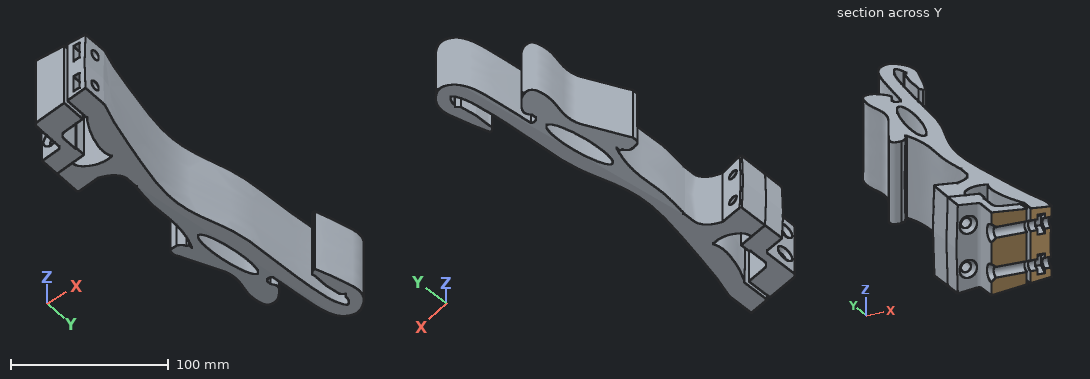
import cadquery as cq
import math


blade_half_width = 28.2
ridge_foot = (31.3, 84.0)
ridge_angle = 7.9
top_slope = 0.08
bottom_slope = 0.12
stock_half_width = 39.1
trim_reach = 521.8
overshoot = 2.5

joint_y = 41.2
shelf_y = 26.5
upper_leg_length = 23.5
waist_x = 22.7
waist_top = 34.0
jaw_left = 16.5
jaw_right = 41.5
jaw_height = 18.3
jaw_corner_radius = 3.0
shelf_corner_radius = 1.8
waist_corner_radius = 4.0

shoulder_y = 62.0
shoulder_end = 18.0
shoulder_chamfer = 1.0
neck = (30.5, 83.0)
tail_left = 44.0
tail_right = 59.2
tail_inner_height = 20.0
tail_outer_height = 18.8
tail_draft_top = (47.5, 64.0)
cavity_left = 13.8
cavity_top = 54.5
window_center = (36.8, 167.7)
window_radii = (25.3, 5.5)

draft_setback = 0.91
neck_gap = 0.8
neck_drop = 5.0

hole_diameter = 7.0
countersink_diameter = 12.3
countersink_depth = 3.5
clamp_screw_x = 8.3
clamp_screw_zs = (15.1, -15.1)
jaw_screw_y = 10.0
jaw_screw_zs = (14.0, -13.3)
nut_corner_width = 13.3
nut_thickness = 5.2
nut_left = 49.0


def extruded(outline):
    """Extrude a closed XY outline over the full stock width."""
    return outline.close().extrude(2 * stock_half_width).translate((0, 0, -stock_half_width))


def side_trims():
    """Half-spaces beyond the tilted top and bottom faces."""
    angle = math.radians(ridge_angle)
    along_ridge = cq.Vector(math.sin(angle), math.cos(angle), 0)
    across = cq.Vector(math.cos(angle), -math.sin(angle), 0)
    trims = []
    for side, slope in ((1, top_slope), (-1, bottom_slope)):
        plane = cq.Plane(
            origin=(*ridge_foot, side * blade_half_width),
            xDir=along_ridge,
            normal=across * slope + cq.Vector(0, 0, side),
        )
        trims.append(cq.Workplane(plane).rect(trim_reach, trim_reach).extrude(trim_reach))
    return trims


def flat_trims():
    """Boxes beyond the flat sides of the blade, starting at the foot of the ridge."""
    box = cq.Workplane("XY").box(trim_reach, trim_reach, trim_reach, centered=(True, False, False))
    above = box.translate((0, ridge_foot[1], blade_half_width))
    return [above, above.mirror("XY")]


def drafted(section):
    """Void with the given section, growing by the draft setback out to the blade's flat sides."""
    half = section(cq.Workplane("XY"), 0).workplane(offset=stock_half_width)
    growth = draft_setback * stock_half_width / blade_half_width
    half = section(half, growth).loft(ruled=True)
    return half.union(half.mirror("XY"))


def left_section(plane, growth):
    """Space left of the clamp and above its shoulder, up to the neck."""
    face = growth
    curve_end = neck[1] - neck_gap - neck_drop * growth
    return (
        plane.moveTo(-trim_reach, -overshoot)
        .lineTo(face, -overshoot)
        .lineTo(face, shoulder_y - shoulder_chamfer)
        .lineTo(face + shoulder_chamfer, shoulder_y)
        .lineTo(shoulder_end, shoulder_y)
        .spline(
            [(24.8 + growth, 67.5 - growth), (29.2 + growth, 74.0 - growth), (neck[0], curve_end)],
            tangents=[(1, 0.5), (0, 1)],
            includeCurrent=True,
        )
        .lineTo(*neck)
        .lineTo(-trim_reach, neck[1])
        .close()
    )


def cavity_section(plane, growth):
    """Space between the clamp and the tail; only the tail wall is drafted."""
    return (
        plane.moveTo(cavity_left, joint_y)
        .spline(
            [(15.0, 45.5), (18.8, 49.5), (24.0, 52.7), (30.5, cavity_top)],
            includeCurrent=True,
        )
        .lineTo(34.7 + growth, cavity_top)
        .spline(
            [
                (33.1 + growth, 47.0),
                (34.0 + growth, 40.7),
                (36.8 + growth, 31.3),
                (42.3 + growth, 20.5),
            ],
            includeCurrent=True,
        )
        .lineTo(tail_left, tail_inner_height)
        .lineTo(tail_left, -overshoot)
        .lineTo(cavity_left, -overshoot)
        .close()
    )


def tail_section(plane, growth):
    """Space right of the tail, hollowing its outer face at mid width."""
    face = tail_right - draft_setback + growth
    return (
        plane.moveTo(trim_reach, -overshoot)
        .lineTo(face, -overshoot)
        .lineTo(face, tail_outer_height)
        .lineTo(*tail_draft_top)
        .lineTo(trim_reach, tail_draft_top[1])
        .close()
    )


def frame_outline():
    """Silhouette of the blade, hook, lug, clamp half and tail, without the openings."""
    return (
        cq.Workplane("XY")
        .moveTo(0, joint_y)
        .lineTo(0, shoulder_y)
        .lineTo(*neck)
        .spline(
            [(29.2, 91.8), (28.0, 104.4), (28.5, 121.3), (27.1, 135.7), (24.3, 145.5)],
            includeCurrent=True,
        )
        .lineTo(23.0, 148.7)
        .lineTo(23.0, 145.8)
        .lineTo(21.5, 145.0)
        .spline([(19.8, 142.7), (16.7, 141.0)], includeCurrent=True)
        .lineTo(13.0, 141.0)
        .threePointArc((11.2, 141.5), (10.2, 143.0))
        .lineTo(10.2, 146.4)
        .lineTo(11.7, 149.2)
        .spline(
            [(16.7, 160.0), (22.0, 170.5), (26.0, 180.8), (26.5, 190.5), (24.3, 202.2), (24.5, 211.8),
             (27.7, 218.4), (34.5, 219.0), (39.7, 215.0), (42.8, 210.3), (41.5, 206.4)],
            tangents=[(0.46, 1), (-0.7, -0.7)],
            includeCurrent=True,
        )
        .lineTo(40.7, 205.0)
        .lineTo(40.7, 201.7)
        .threePointArc((43.3, 200.4), (45.7, 201.5))
        .spline(
            [(47.5, 219.1), (49.0, 232.2), (51.7, 246.3), (55.3, 254.0), (60.5, 259.0), (66.0, 261.0),
             (72.0, 258.8), (77.0, 253.3), (78.3, 247.8), (76.2, 237.0), (71.7, 221.2), (69.5, 214.7)],
            tangents=[(0.05, 1), (-0.4, -1)],
            includeCurrent=True,
        )
        .lineTo(67.5, 214.7)
        .lineTo(65.2, 216.5)
        .lineTo(65.7, 219.1)
        .lineTo(65.7, 230.0)
        .lineTo(67.5, 241.5)
        .lineTo(70.2, 244.0)
        .lineTo(69.0, 245.7)
        .spline(
            [(68.0, 249.5), (66.0, 251.5), (63.5, 248.4), (60.3, 239.2), (58.2, 225.1), (56.5, 208.7),
             (55.3, 190.5), (54.3, 172.2), (51.1, 153.1), (45.0, 132.5), (41.0, 112.7), (41.0, 99.1),
             (44.3, 77.2), (50.5, 48.8), (55.3, 30.3), (tail_right, tail_outer_height)],
            includeCurrent=True,
        )
        .lineTo(tail_right, 0)
        .lineTo(cavity_left, 0)
        .lineTo(cavity_left, joint_y)
    )


def screw_hole(mouth, direction, length):
    """Round hole that starts at its mouth with a conical countersink."""
    shaft = cq.Solid.makeCylinder(hole_diameter / 2, length, mouth, direction)
    sink = cq.Solid.makeCone(
        countersink_diameter / 2, hole_diameter / 2, countersink_depth, mouth, direction)
    return shaft.fuse(sink)


def clamp_holes():
    """Screw holes along Y through the clamp block and the frame."""
    length = shoulder_y - shelf_y + overshoot
    along_y = cq.Vector(0, 1, 0)
    return [screw_hole(cq.Vector(clamp_screw_x, shelf_y, z), along_y, length) for z in clamp_screw_zs]


def jaw_holes():
    """Screw holes along X through the jaw and the tail."""
    length = tail_right - jaw_left + overshoot
    along_x = cq.Vector(1, 0, 0)
    return [screw_hole(cq.Vector(jaw_left, jaw_screw_y, z), along_x, length) for z in jaw_screw_zs]


def nut_slots():
    """Hexagonal nut pockets in the tail, open toward -Y."""
    centers = [(jaw_screw_y, z) for z in jaw_screw_zs]
    plane = cq.Workplane("YZ").workplane(offset=nut_left)
    hexagons = plane.pushPoints(centers).sketch().regularPolygon(
        nut_corner_width / 2, 6).finalize().extrude(nut_thickness)
    mouths = plane.pushPoints([(jaw_screw_y / 2, z) for z in jaw_screw_zs]).rect(
        jaw_screw_y, nut_corner_width).extrude(nut_thickness)
    return hexagons.union(mouths)


def build_frame():
    frame = extruded(frame_outline())
    window = (
        cq.Workplane("XY", origin=(*window_center, -stock_half_width))
        .ellipse(*window_radii, rotation_angle=90 - ridge_angle)
        .extrude(2 * stock_half_width)
    )
    drafts = [drafted(left_section), drafted(cavity_section), drafted(tail_section)]
    holes = clamp_holes() + jaw_holes()
    for void in drafts + holes + [window, nut_slots()] + side_trims() + flat_trims():
        frame = frame.cut(void)
    return frame


def build_clamp_block():
    block = extruded(
        cq.Workplane("XY")
        .moveTo(0, joint_y)
        .lineTo(upper_leg_length, joint_y)
        .lineTo(upper_leg_length, waist_top)
        .lineTo(waist_x, waist_top)
        .lineTo(waist_x, jaw_height)
        .lineTo(jaw_right, jaw_height)
        .lineTo(jaw_right, 0)
        .lineTo(jaw_left, 0)
        .lineTo(jaw_left, shelf_y)
        .lineTo(0, shelf_y)
    )
    for corner, radius in (
        ((jaw_left, 0), jaw_corner_radius),
        ((jaw_left, shelf_y), shelf_corner_radius),
        ((waist_x, jaw_height), waist_corner_radius),
    ):
        block = block.edges(cq.NearestToPointSelector((*corner, 0))).fillet(radius)
    for void in [drafted(left_section)] + clamp_holes() + jaw_holes() + side_trims():
        block = block.cut(void)
    return block


frame = build_frame()
clamp_block = build_clamp_block()

result = cq.Compound.makeCompound([frame.solids().val(), clamp_block.solids().val()])